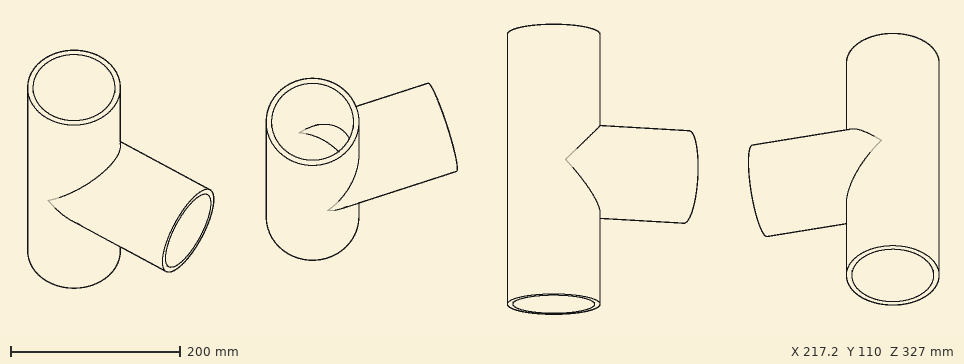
import cadquery as cq

run_length = 327.0
outer_diameter = 110.0
wall = 6.5
branch_reach = 162.2

outer_radius = outer_diameter / 2
bore_radius = outer_radius - wall


def tee_solid(radius):
    """Union of two equal cylinders, centred on the crossing of their axes."""
    run = cq.Workplane("XY").circle(radius).extrude(run_length / 2, both=True)
    branch = cq.Workplane("YZ").circle(radius).extrude(branch_reach)
    return run.union(branch)


result = tee_solid(outer_radius).cut(tee_solid(bore_radius))